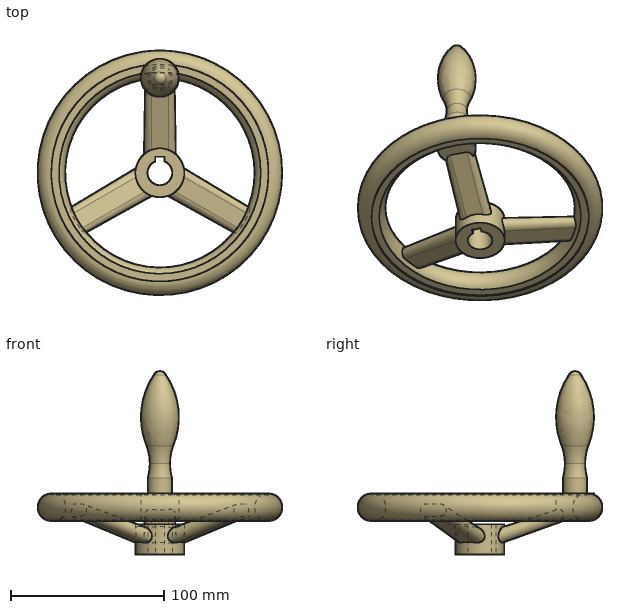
import cadquery as cq
import math

rim_radius = 80.0
rim_height = 18.0
rim_top = 40.0
rim_flat_inner_radius = 66.0
rim_inner_radius = 61.8
rim_step = 1.0
rim_middle = rim_top - rim_height / 2
rim_bottom = rim_top - rim_height
band_top = rim_top - rim_step
band_bottom = rim_bottom + rim_step
rim_flat_outer_radius = rim_radius - rim_height / 2

hub_radius = 16.0
hub_height = 20.0
bore_radius = 8.0
key_width = 5.8
key_reach = 10.4

spoke_count = 3
spoke_rise_angle = 18.8
spoke_flat_width = 11.2
spoke_hub_thickness = 10.0
spoke_rim_thickness = 8.0
spoke_inner_reach = 11.2
spoke_outer_reach = 68.8
spoke_crossing_radius = 41.1

handle_offset = 62.0
boss_radius = 12.5
boss_bottom = 23.2

shank_radius = 8.0
shank_top = 50.0
neck_radius = 6.7
neck_height = 59.8
grip_start_radius = 8.8
grip_start_height = 71.2
grip_radius = 12.5
grip_middle_height = 90.4
nose_radius = 4.0
nose_height = 117.5
handle_top = 120.0


def make_rim():
    section = (
        cq.Workplane("XZ")
        .moveTo(rim_flat_inner_radius, band_top)
        .lineTo(rim_flat_outer_radius, band_top)
        .lineTo(rim_flat_outer_radius, rim_top)
        .threePointArc((rim_radius, rim_middle), (rim_flat_outer_radius, rim_bottom))
        .lineTo(rim_flat_outer_radius, band_bottom)
        .lineTo(rim_flat_inner_radius, band_bottom)
        .threePointArc((rim_inner_radius, rim_middle), (rim_flat_inner_radius, band_top))
        .close()
    )
    return section.revolve(360, (0, 0, 0), (0, 1, 0))


def spoke_section(reach, thickness):
    """Stadium section square to the spoke centre line, at a given distance from the wheel axis."""
    angle = math.radians(spoke_rise_angle)
    height = rim_bottom + (reach - spoke_crossing_radius) * math.tan(angle)
    plane = cq.Plane(
        origin=(0, reach, height),
        xDir=(1, 0, 0),
        normal=(0, math.cos(angle), math.sin(angle)),
    )
    return cq.Workplane(plane).slot2D(spoke_flat_width + thickness, thickness).wires().val()


def make_spoke():
    inner = spoke_section(spoke_inner_reach, spoke_hub_thickness)
    outer = spoke_section(spoke_outer_reach, spoke_rim_thickness)
    return cq.Workplane(cq.Solid.makeLoft([inner, outer], True))


def make_bore_cutter():
    bore = cq.Workplane("XY").circle(bore_radius).extrude(hub_height)
    key = cq.Workplane("XY").rect(key_width, key_reach, centered=(True, False)).extrude(hub_height)
    return bore.union(key)


def neck_arc_middle(end_radius, end_height):
    """Middle of a shallow hollow arc that leaves the neck almost parallel to the handle axis."""
    return (neck_radius + (end_radius - neck_radius) / 4, (neck_height + end_height) / 2)


def make_handle():
    nose_rise = handle_top - nose_height
    dome_radius = (nose_radius**2 + nose_rise**2) / (2 * nose_rise)
    dome_half_angle = math.asin(nose_radius / dome_radius) / 2
    dome_middle = (
        dome_radius * math.sin(dome_half_angle),
        handle_top - dome_radius * (1 - math.cos(dome_half_angle)),
    )
    profile = (
        cq.Workplane("XZ")
        .moveTo(0, boss_bottom)
        .lineTo(shank_radius, boss_bottom)
        .lineTo(shank_radius, shank_top)
        .threePointArc(
            neck_arc_middle(shank_radius, shank_top), (neck_radius, neck_height)
        )
        .threePointArc(
            neck_arc_middle(grip_start_radius, grip_start_height), (grip_start_radius, grip_start_height)
        )
        .threePointArc((grip_radius, grip_middle_height), (nose_radius, nose_height))
        .threePointArc(dome_middle, (0, handle_top))
        .close()
    )
    return profile.revolve(360, (0, 0, 0), (0, 1, 0)).translate((0, handle_offset, 0))


hub = cq.Workplane("XY").circle(hub_radius).extrude(hub_height)
boss = (
    cq.Workplane("XY", origin=(0, handle_offset, boss_bottom))
    .circle(boss_radius)
    .extrude(rim_top - boss_bottom)
)

result = make_rim().union(hub).union(boss)
for index in range(spoke_count):
    spoke = make_spoke().rotate((0, 0, 0), (0, 0, 1), index * 360 / spoke_count)
    result = result.union(spoke)
result = result.union(make_handle()).cut(make_bore_cutter())